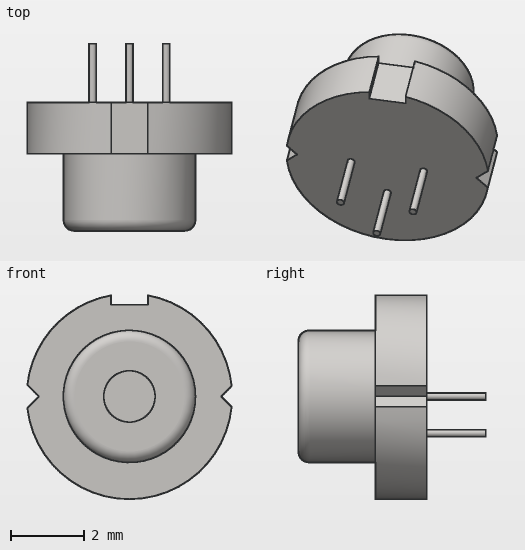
import cadquery as cq
import math

FLANGE_DIAMETER = 5.6
FLANGE_THICKNESS = 1.4
CAP_DIAMETER = 3.6
CAP_LENGTH = 2.1
CAP_EDGE_RADIUS = 0.3
BORE_DIAMETER = 1.4
BORE_DEPTH = CAP_LENGTH
PIN_DIAMETER = 0.2
PIN_LENGTH = 1.605
PIN_PITCH = 1.0
KEY_SLOT_WIDTH = 1.0
KEY_SLOT_FLOOR = 2.5
LEFT_NOTCH_HALF_WIDTH = 0.32
RIGHT_NOTCH_HALF_WIDTH = 0.285

FLANGE_RADIUS = FLANGE_DIAMETER / 2


def cylinder_along_y(diameter, start_y, length, x=0, z=0):
    """Cylinder running from start_y towards +Y."""
    base = cq.Workplane("XZ", origin=(x, start_y, z))
    return base.circle(diameter / 2).extrude(-length)


def edge_notch(side, half_width):
    """90 degree V-notch in the flange rim; side is -1 for -X or +1 for +X."""
    rim_x = math.sqrt(FLANGE_RADIUS**2 - half_width**2)
    tip_x = rim_x - half_width
    outer_x = FLANGE_RADIUS + half_width
    outer_z = outer_x - tip_x
    outline = [(side * tip_x, 0), (side * outer_x, outer_z), (side * outer_x, -outer_z)]
    return cq.Workplane("XZ").polyline(outline).close().extrude(-FLANGE_THICKNESS)


flange = cylinder_along_y(FLANGE_DIAMETER, 0, FLANGE_THICKNESS)
key_slot = cq.Workplane("XY").box(
    KEY_SLOT_WIDTH, FLANGE_THICKNESS, FLANGE_RADIUS, centered=(True, False, False)
).translate((0, 0, KEY_SLOT_FLOOR))
flange = flange.cut(key_slot)
flange = flange.cut(edge_notch(-1, LEFT_NOTCH_HALF_WIDTH))
flange = flange.cut(edge_notch(1, RIGHT_NOTCH_HALF_WIDTH))

cap = cylinder_along_y(CAP_DIAMETER, -CAP_LENGTH, CAP_LENGTH)
cap = cap.faces("<Y").edges().fillet(CAP_EDGE_RADIUS)
bore = cylinder_along_y(BORE_DIAMETER, -CAP_LENGTH, BORE_DEPTH)
result = flange.union(cap).cut(bore)

pin_positions = [(-PIN_PITCH, 0), (0, -PIN_PITCH), (PIN_PITCH, 0)]
for pin_x, pin_z in pin_positions:
    pin = cylinder_along_y(PIN_DIAMETER, FLANGE_THICKNESS, PIN_LENGTH, pin_x, pin_z)
    result = result.union(pin)